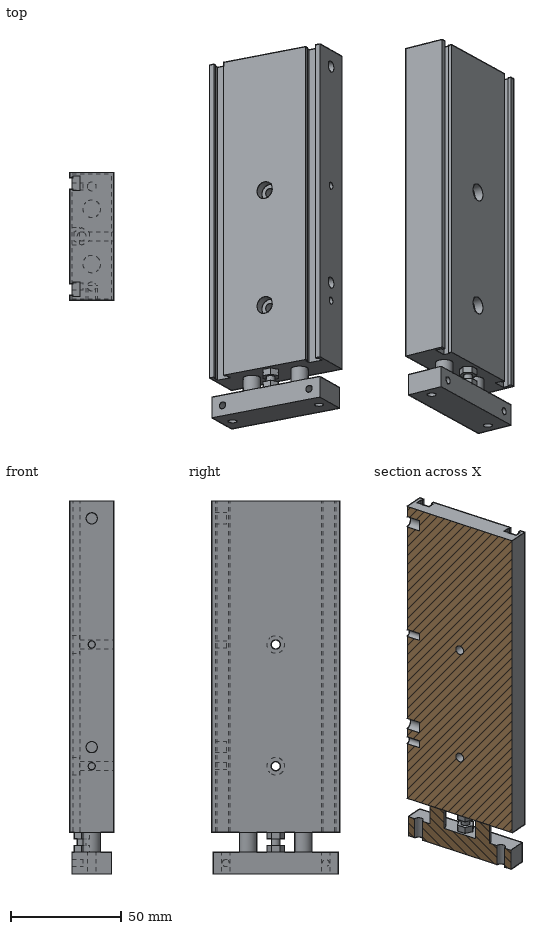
import cadquery as cq

TOTAL_HEIGHT = 169.0

HOUSING_THICKNESS = 20.0
HOUSING_WIDTH = 58.0
HOUSING_BOTTOM = 19.0
HOUSING_HEIGHT = TOTAL_HEIGHT - HOUSING_BOTTOM

SLOT_OFFSET = 24.0
SLOT_MOUTH_WIDTH = 5.0
SLOT_INNER_WIDTH = 6.6
SLOT_LIP = 1.5
SLOT_DEPTH = 4.5

MOUNT_HOLE_HEIGHTS = (48.8, 104.0)
MOUNT_HOLE_DIAMETER = 4.0
COUNTERBORE_DIAMETER = 8.0
COUNTERBORE_DEPTH = 4.4

PORT_HEIGHTS = (57.5, 161.0)
PORT_DIAMETER = 5.0
SIDE_SCREW_DIAMETER = 3.2
SIDE_HOLE_DEPTH = 6.8

PLATE_THICKNESS = 17.9
PLATE_WIDTH = 56.6
PLATE_HEIGHT = 10.0
ROD_DIAMETER = 8.0
ROD_OFFSET = 12.5
GAP = HOUSING_BOTTOM - PLATE_HEIGHT
PLATE_HOLE_OFFSET = 22.6
PLATE_VERTICAL_DIAMETER = 4.0
PLATE_SIDE_DIAMETER = 3.2
PLATE_SIDE_DEPTH = 5.0
PLATE_SIDE_HEIGHT = PLATE_HEIGHT / 2

BOLT_X = -4.5
BOLT_DIAMETER = 4.0
HEX_ACROSS_CORNERS = 8.0
HEX_HEIGHT = 3.0


def cylinder_along_x(diameter, x_start, length, y, z):
    plane = cq.Workplane("YZ", origin=(x_start, y, z))
    return plane.circle(diameter / 2).extrude(length)


def slot_box(width, depth, y):
    """Box of the given width, cut to a depth below the -X face, over the housing height."""
    start = (-HOUSING_THICKNESS / 2, y - width / 2, HOUSING_BOTTOM)
    return cq.Workplane("XY", origin=start).box(depth, width, HOUSING_HEIGHT, centered=False)


def t_slot(y):
    mouth = slot_box(SLOT_MOUTH_WIDTH, SLOT_DEPTH, y)
    channel = slot_box(SLOT_INNER_WIDTH, SLOT_DEPTH, y)
    lips = slot_box(SLOT_INNER_WIDTH, SLOT_LIP, y)
    return mouth.union(channel.cut(lips))


def mounting_hole(z):
    face_x = -HOUSING_THICKNESS / 2
    through = cylinder_along_x(MOUNT_HOLE_DIAMETER, face_x, HOUSING_THICKNESS, 0, z)
    counterbore = cylinder_along_x(COUNTERBORE_DIAMETER, face_x, COUNTERBORE_DEPTH, 0, z)
    return through.union(counterbore)


def side_hole(diameter, z):
    """Blind hole going in from the -Y face of the housing."""
    bottom_y = -HOUSING_WIDTH / 2 + SIDE_HOLE_DEPTH
    plane = cq.Workplane("XZ", origin=(0, bottom_y, z))
    return plane.circle(diameter / 2).extrude(SIDE_HOLE_DEPTH)


def make_housing():
    body = cq.Workplane("XY", origin=(0, 0, HOUSING_BOTTOM)).box(
        HOUSING_THICKNESS, HOUSING_WIDTH, HOUSING_HEIGHT, centered=(True, True, False)
    )
    for y in (-SLOT_OFFSET, SLOT_OFFSET):
        body = body.cut(t_slot(y))
    for z in MOUNT_HOLE_HEIGHTS:
        body = body.cut(mounting_hole(z))
        body = body.cut(side_hole(SIDE_SCREW_DIAMETER, z))
    for z in PORT_HEIGHTS:
        body = body.cut(side_hole(PORT_DIAMETER, z))
    return body


def make_rod_plate():
    """End plate with its two guide rods, which reach up to the housing."""
    plate = cq.Workplane("XY").box(
        PLATE_THICKNESS, PLATE_WIDTH, PLATE_HEIGHT, centered=(True, True, False)
    )
    for side in (-1, 1):
        hole_y = side * PLATE_HOLE_OFFSET
        vertical_hole = cq.Workplane("XY", origin=(0, hole_y, 0))
        vertical_hole = vertical_hole.circle(PLATE_VERTICAL_DIAMETER / 2).extrude(PLATE_HEIGHT)
        face_hole = cylinder_along_x(
            PLATE_SIDE_DIAMETER, -PLATE_THICKNESS / 2, PLATE_SIDE_DEPTH, hole_y, PLATE_SIDE_HEIGHT
        )
        rod = cq.Workplane("XY", origin=(0, side * ROD_OFFSET, PLATE_HEIGHT))
        rod = rod.circle(ROD_DIAMETER / 2).extrude(GAP)
        plate = plate.cut(vertical_hole).cut(face_hole).union(rod)
    return plate


def make_stop_bolt():
    """Shank with a hexagon at each end; two hexagon corners lie along Y."""
    bolt = cq.Workplane("XY", origin=(BOLT_X, 0, PLATE_HEIGHT)).circle(BOLT_DIAMETER / 2).extrude(GAP)
    for z in (PLATE_HEIGHT, HOUSING_BOTTOM - HEX_HEIGHT):
        hexagon = cq.Workplane("XY", origin=(BOLT_X, 0, z))
        hexagon = hexagon.transformed(rotate=(0, 0, 90)).polygon(6, HEX_ACROSS_CORNERS).extrude(HEX_HEIGHT)
        bolt = bolt.union(hexagon)
    return bolt


housing = make_housing()
rod_plate = make_rod_plate()
stop_bolt = make_stop_bolt()

bodies = (housing, rod_plate, stop_bolt)
result = cq.Compound.makeCompound([body.solids().val() for body in bodies])